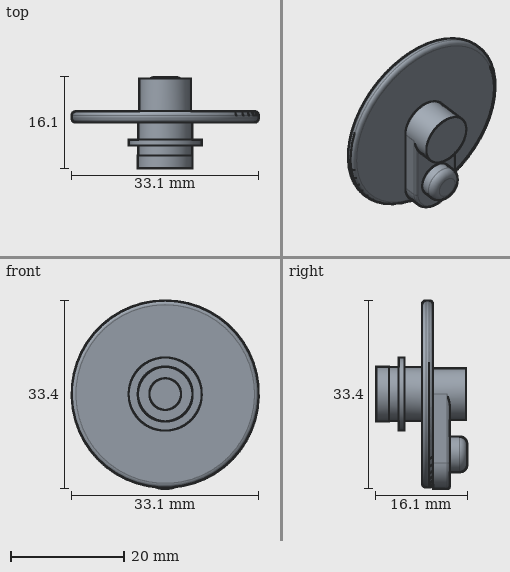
import cadquery as cq

disc_radius = 16.573
disc_thickness = 2.0
disc_edge_round = 0.77

neck_radius = 4.8
neck_length = 5.85
nose_radius = 4.87
front_length = 8.1
flange_radius = 6.48
flange_start = 3.05
flange_thickness = 1.07
bore_radius = 2.8

hub_radius = 4.6
hub_end = 7.8

arm_back = 4.95
arm_edge_round = 0.5
arm_tip_z = -16.807
arm_length = -arm_tip_z - hub_radius

pin_radius = 3.17
pin_end = 8.05
pin_z = -10.68
pin_edge_round = 1.37


def cylinder(radius, y_start, y_end, z=0):
    """Solid cylinder along +Y between two Y positions."""
    return cq.Workplane(cq.Solid.makeCylinder(
        radius, y_end - y_start, cq.Vector(0, y_start, z), cq.Vector(0, 1, 0)))


def make_disc():
    return cylinder(disc_radius, 0, disc_thickness).edges("%CIRCLE").fillet(disc_edge_round)


def make_front_spigot():
    neck = cylinder(neck_radius, -neck_length, 0)
    nose = cylinder(nose_radius, -front_length, -neck_length)
    flange = cylinder(flange_radius, -flange_start - flange_thickness, -flange_start)
    return neck.union(nose).union(flange)


def make_arm():
    """Round-ended crank arm running from the shaft axis down past the disc rim."""
    arm = (
        cq.Workplane("XZ", origin=(0, disc_thickness, 0))
        .center(0, -arm_length / 2)
        .slot2D(arm_length + 2 * hub_radius, 2 * hub_radius, 90)
        .extrude(disc_thickness - arm_back)
    )
    return arm.faces(">Y").edges().fillet(arm_edge_round)


def make_pin():
    pin = cylinder(pin_radius, disc_thickness, pin_end, pin_z)
    return pin.faces(">Y").edges().fillet(pin_edge_round)


hub = cylinder(hub_radius, disc_thickness, hub_end)
bore = cylinder(bore_radius, -front_length, 0)

result = (
    make_disc()
    .union(make_front_spigot())
    .union(hub)
    .union(make_arm())
    .union(make_pin())
    .cut(bore)
)